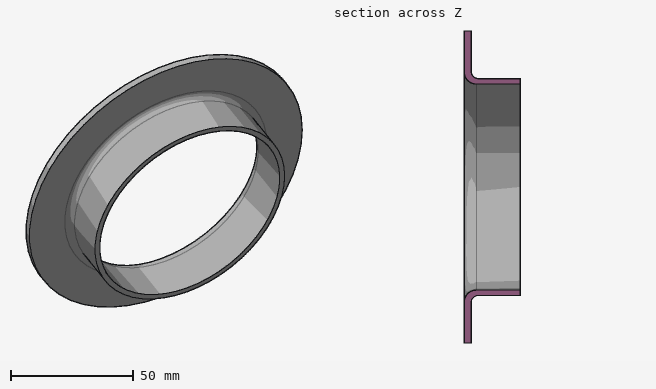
import cadquery as cq

flange_diameter = 128.0
sleeve_diameter = 89.0
bore_diameter = 84.4
length = 23.0
flange_thickness = 3.0
bore_lip_radius = 5.0
neck_radius = 3.0

flange_radius = flange_diameter / 2
sleeve_radius = sleeve_diameter / 2
bore_radius = bore_diameter / 2

section = (
    cq.Workplane("XY")
    .moveTo(0, flange_radius)
    .lineTo(flange_thickness, flange_radius)
    .lineTo(flange_thickness, sleeve_radius + neck_radius)
    .radiusArc((flange_thickness + neck_radius, sleeve_radius), -neck_radius)
    .lineTo(length, sleeve_radius)
    .lineTo(length, bore_radius)
    .lineTo(bore_lip_radius, bore_radius)
    .radiusArc((0, bore_radius + bore_lip_radius), bore_lip_radius)
    .close()
)

result = section.revolve(360, (0, 0, 0), (1, 0, 0))